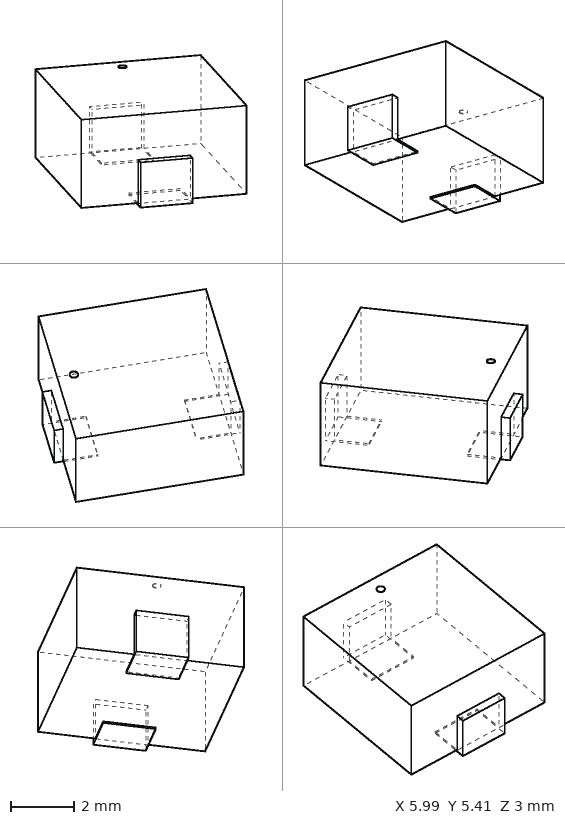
import cadquery as cq

overall_length = 5.99
housing_side = 5.41
housing_height = 2.925
standoff = 0.06
housing_top = standoff + housing_height

terminal_width = 1.7
terminal_height = 1.5
foot_length = 1.4
upright_thickness = (overall_length - housing_side) / 2

dot_diameter = 0.27
dot_height = 0.02
dot_edge_distance = 0.54


def make_housing():
    """Plain square block."""
    return (
        cq.Workplane("XY")
        .workplane(offset=standoff)
        .rect(housing_side, housing_side)
        .extrude(housing_height)
    )


def make_terminal(side):
    """L-shaped terminal at the -X end (side = -1) or the +X end (side = 1)."""
    outer_x = side * overall_length / 2
    wall_x = outer_x - side * upright_thickness
    toe_x = outer_x - side * foot_length
    profile = [
        (outer_x, 0),
        (outer_x, terminal_height),
        (wall_x, terminal_height),
        (wall_x, standoff),
        (toe_x, standoff),
        (toe_x, 0),
    ]
    return cq.Workplane("XZ").polyline(profile).close().extrude(terminal_width / 2, both=True)


def make_polarity_dot():
    """Thin disc marking the -X terminal."""
    return (
        cq.Workplane("XY")
        .workplane(offset=housing_top)
        .center(dot_edge_distance - housing_side / 2, 0)
        .circle(dot_diameter / 2)
        .extrude(dot_height)
    )


housing = make_housing()
terminals = [make_terminal(side) for side in (-1, 1)]
polarity_dot = make_polarity_dot()

result = cq.Compound.makeCompound(
    [housing.val(), *[terminal.val() for terminal in terminals], polarity_dot.val()]
)